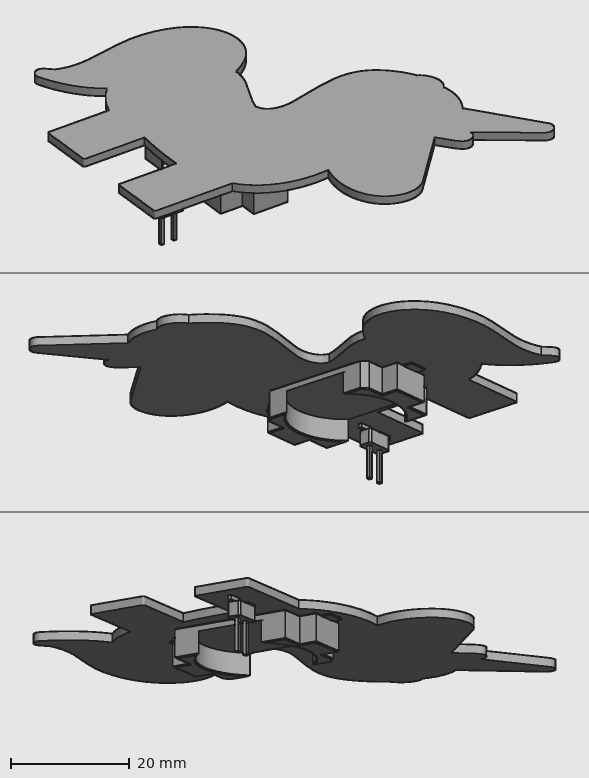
import cadquery as cq


BOARD_THICKNESS = 1.55
LEG_WIDTH = 10.7
REAR_LEG_LEFT = 17.8
FRONT_LEG_LEFT = 38.5
REAR_LEG_RIGHT = REAR_LEG_LEFT + LEG_WIDTH
FRONT_LEG_RIGHT = FRONT_LEG_LEFT + LEG_WIDTH
HOOF_RADIUS = 0.35

HOLDER_CENTER = (36.25, 22.95)
HOLDER_HEIGHT = 5.25
BODY_WIDTH = 22.0
BODY_DEPTH = 16.05
BODY_CORNER = 1.1
ARM_SPAN = 28.6
ARM_DEPTH = 7.05
COIN_DIAMETER = 20.3
COIN_FLOOR = 1.2
HOLDER_EDGE = 0.2
TAB_SPAN = 32.0
TAB_DEPTH = 3.55
TAB_THICKNESS = 0.3

PIN_PITCH = 2.55
PIN_WIDTH = 0.65
PIN_TIP_Z = -9.4
PIN_TAPER = 0.15
HEADER_CENTER = (FRONT_LEG_LEFT + LEG_WIDTH / 2, 6.5)
HEADER_TOP_Z = -0.8
HEADER_WIDTH = PIN_PITCH
HEADER_LENGTH = 2 * PIN_PITCH
HEADER_HEIGHT = PIN_PITCH
HEADER_CORNER = 0.35
FOOT_LENGTH = 2.8
FOOT_THICKNESS = -HEADER_TOP_Z
FOOT_BEND = 0.2


def make_board():
    """Unicorn outline, clockwise from the corner where the mane meets the horn."""
    outline = (
        cq.Workplane("XY")
        .moveTo(51.4, 61.8)
        .lineTo(63.55, 70.7)
        .spline([(64.45, 71.1), (65.75, 70.6), (66.2, 69.5), (65.9, 68.5)], includeCurrent=True)
        .lineTo(58.6, 58.4)
        .spline([(60.05, 57.85), (60.55, 56.65), (59.4, 54.7), (56.5, 52.45)], includeCurrent=True)
        .lineTo(66.7, 42.9)
        .spline([(68.7, 39.1), (67.3, 34.3), (63.75, 31.7), (59.0, 30.9), (54.95, 31.7)], includeCurrent=True)
        .spline([(55.0, 27.4), (54.1, 22.9), (52.0, 18.8), (FRONT_LEG_RIGHT, 16.0)], includeCurrent=True)
        .lineTo(FRONT_LEG_RIGHT, 0)
        .lineTo(FRONT_LEG_LEFT, 0)
        .lineTo(FRONT_LEG_LEFT, 11.95)
        .threePointArc((33.5, 12.0), (REAR_LEG_RIGHT, 12.45))
        .lineTo(REAR_LEG_RIGHT, 0)
        .lineTo(REAR_LEG_LEFT, 0)
        .lineTo(REAR_LEG_LEFT, 12.65)
        .threePointArc((14.6, 14.2), (11.7, 16.5))
        .spline([(9.25, 13.6), (5.7, 10.95), (2.1, 9.25)], includeCurrent=True)
        .threePointArc((0, 10.5), (0.35, 11.6))
        .lineTo(1.6, 12.9)
        .spline(
            [(2.35, 16.7), (1.8, 22.0), (0.7, 29.15), (1.3, 34.8), (3.35, 39.6), (6.8, 42.8),
             (11.0, 43.85), (14.85, 42.85), (17.8, 40.4), (19.7, 37.45)],
            includeCurrent=True,
        )
        .spline([(22.75, 37.0), (27.0, 35.2), (30.85, 33.6)], includeCurrent=True)
        .spline(
            [(32.55, 34.6), (33.4, 36.95), (32.8, 41.2), (31.55, 46.55), (31.0, 50.8), (31.7, 55.0),
             (34.05, 58.55), (38.1, 61.7)],
            includeCurrent=True,
        )
        .spline([(39.45, 63.1), (41.65, 63.9), (43.9, 63.2)], includeCurrent=True)
        .spline([(46.7, 63.4), (49.2, 62.9), (51.4, 61.8)], includeCurrent=True)
        .close()
    )
    board = outline.extrude(BOARD_THICKNESS)
    return board.edges("|Z and <Y").fillet(HOOF_RADIUS)


def make_holder():
    """Plastic block with two side arms, thin solder tabs and a round coin pocket.

    The pocket opens downwards. It is wider than the block is deep, so it also opens at the front and back.
    """
    centered = (True, True, False)
    body = (
        cq.Workplane("XY")
        .box(BODY_WIDTH, BODY_DEPTH, HOLDER_HEIGHT, centered=centered)
        .edges("|Z and >Y")
        .chamfer(BODY_CORNER)
    )
    arms = cq.Workplane("XY").box(ARM_SPAN, ARM_DEPTH, HOLDER_HEIGHT, centered=centered)
    coin_pocket = (
        cq.Workplane("XY", origin=(0, 0, COIN_FLOOR))
        .circle(COIN_DIAMETER / 2)
        .extrude(HOLDER_HEIGHT - COIN_FLOOR)
    )
    tabs = cq.Workplane("XY").box(TAB_SPAN, TAB_DEPTH, TAB_THICKNESS, centered=centered)
    block = body.union(arms).faces("<Z").chamfer(HOLDER_EDGE)
    block = block.cut(coin_pocket).faces(">Z").chamfer(HOLDER_EDGE)
    holder = block.union(tabs)
    return holder.rotate((0, 0, 0), (0, 1, 0), 180).translate((*HOLDER_CENTER, 0))


def make_pin(side):
    """Square pin with a tapered tip; its foot bends outward along Y to the given side under the board."""
    shaft_y = side * PIN_PITCH / 2
    shaft = (
        cq.Workplane("XY", origin=(0, shaft_y, PIN_TIP_Z))
        .box(PIN_WIDTH, PIN_WIDTH, -PIN_TIP_Z, centered=(True, True, False))
        .faces("<Z")
        .chamfer(PIN_TAPER)
    )
    foot_y = shaft_y + side * (FOOT_LENGTH - PIN_WIDTH) / 2
    foot = (
        cq.Workplane("XY", origin=(0, foot_y, -FOOT_THICKNESS / 2))
        .box(PIN_WIDTH, FOOT_LENGTH, FOOT_THICKNESS)
    )
    inner_face = "<Y" if side > 0 else ">Y"
    return shaft.union(foot).edges(f"{inner_face} and >Z").chamfer(FOOT_BEND)


def make_header():
    """Pin header: a plastic block with cut corners around both pins."""
    header = (
        cq.Workplane("XY", origin=(0, 0, HEADER_TOP_Z - HEADER_HEIGHT))
        .box(HEADER_WIDTH, HEADER_LENGTH, HEADER_HEIGHT, centered=(True, True, False))
        .edges("|Z")
        .chamfer(HEADER_CORNER)
    )
    for side in (-1, 1):
        header = header.union(make_pin(side))
    return header.translate((*HEADER_CENTER, 0))


board = make_board()
holder = make_holder()
header = make_header()

result = cq.Compound.makeCompound([board.val(), holder.val(), header.val()])